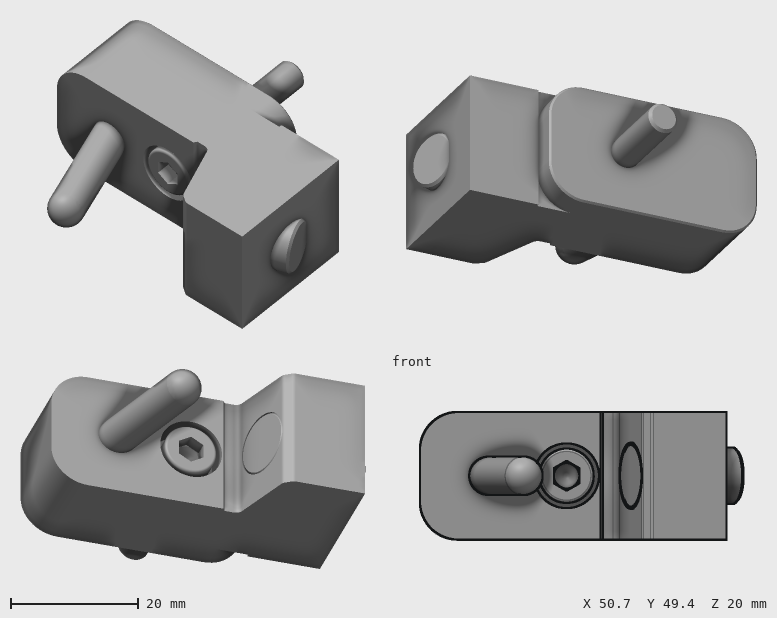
import cadquery as cq
import math


HEIGHT = 20.0
HOUSING_LENGTH = 48.0
ARM_LENGTH = 36.1
ARM_BACK_Y = 16.0
BLOCK_BACK_Y = 12.0
PAD_CORNER_FLOOR_Y = 11.5
BLOCK_FRONT_Y = -11.0
CORNER_RADIUS = 6.0
PAD_CHAMFER = 0.3

FACE_TILT = 20.0
FACE_BASE_X = 31.15
NOSE_SETBACK = 1.1
NOSE_RADIUS = 0.9
RELIEF_START_X = 28.3
RELIEF_RAMP = 0.35
RELIEF_DEPTH = 0.55
RELIEF_RADIUS = 1.1

SCREW_X = 22.95
SCREW_DIAMETER = 5.0
SCREW_TIP_Y = 30.0
SCREW_TIP_CHAMFER = 0.45
HEAD_DIAMETER = 8.5
HEAD_HEIGHT = 5.0
HEAD_ROUNDING = 0.45
COUNTERBORE_DIAMETER = 10.15
HEX_ACROSS_FLATS = 4.0
HEX_DEPTH = 2.5
HEX_CONE_DEPTH = 1.15

PIN_DIAMETER = 6.05
PIN_TILT = 18.0
PIN_BASE_X = 10.9
PIN_TIP_Y = -19.4
PIN_INSERTION = 10.15

CONTACT_Y = -5.0
CONTACT_DIAMETER = 10.35
CONTACT_THICKNESS = 3.0
CONTACT_CHAMFER = 0.3
PLUNGER_DIAMETER = 8.9
PLUNGER_END = 17.35
PLUNGER_CHAMFER = 0.4

face_angle = math.radians(FACE_TILT)


def face_x(y):
    """X of the inclined face at a given Y."""
    return FACE_BASE_X - y * math.tan(face_angle)


def tilted_plane(x, y, direction):
    """Plane at (x, y, 0) whose normal is the given direction in XY."""
    return cq.Plane(origin=(x, y, 0), xDir=(0, 0, 1), normal=direction)


contact_plane = tilted_plane(
    face_x(CONTACT_Y), CONTACT_Y, (math.cos(face_angle), math.sin(face_angle), 0)
)

pin_angle = math.radians(PIN_TILT)
pin_radius = PIN_DIAMETER / 2
pin_ball_y = PIN_TIP_Y + pin_radius
pin_length = PIN_INSERTION - pin_ball_y / math.cos(pin_angle)
pin_plane = tilted_plane(
    PIN_BASE_X - PIN_INSERTION * math.sin(pin_angle),
    PIN_INSERTION * math.cos(pin_angle),
    (math.sin(pin_angle), -math.cos(pin_angle), 0),
)


def cylinder_along_y(diameter, start_y, end_y):
    """Cylinder on the screw axis between two Y positions."""
    plane = tilted_plane(SCREW_X, start_y, (0, 1, 0))
    return cq.Workplane(plane).circle(diameter / 2).extrude(end_y - start_y)


def make_pin():
    shank = cq.Workplane(pin_plane).circle(pin_radius).extrude(pin_length)
    ball_center = pin_plane.toWorldCoords((0, 0, pin_length))
    ball = cq.Workplane("XY").sphere(pin_radius).translate(ball_center)
    return shank.union(ball)


def make_screw():
    head = cylinder_along_y(HEAD_DIAMETER, 0, HEAD_HEIGHT)
    head = head.faces("<Y").edges().fillet(HEAD_ROUNDING)
    shank = cylinder_along_y(SCREW_DIAMETER, HEAD_HEIGHT, SCREW_TIP_Y)
    shank = shank.faces(">Y").chamfer(SCREW_TIP_CHAMFER)
    head_plane = tilted_plane(SCREW_X, 0, (0, 1, 0))
    hex_corners = HEX_ACROSS_FLATS / math.cos(math.pi / 6)
    socket = cq.Workplane(head_plane).polygon(6, hex_corners).extrude(HEX_DEPTH)
    cone = cq.Solid.makeCone(
        HEX_ACROSS_FLATS / 2, 0, HEX_CONE_DEPTH,
        pnt=cq.Vector(SCREW_X, HEX_DEPTH, 0), dir=cq.Vector(0, 1, 0),
    )
    return head.union(shank).cut(socket).cut(cone)


def contact_disc():
    """Plain disc that the contact pad fills, without its edge chamfer."""
    return cq.Workplane(contact_plane).circle(CONTACT_DIAMETER / 2).extrude(CONTACT_THICKNESS)


def make_contact_pad():
    return contact_disc().faces("<X").chamfer(CONTACT_CHAMFER)


def make_plunger():
    start = contact_plane.toWorldCoords((0, 0, CONTACT_THICKNESS))
    plane = tilted_plane(start.x, start.y, contact_plane.zDir)
    rod = cq.Workplane(plane).circle(PLUNGER_DIAMETER / 2).extrude(PLUNGER_END - CONTACT_THICKNESS)
    return rod.faces(">X").chamfer(PLUNGER_CHAMFER)


def round_upright_edge(body, corner, radius):
    """Fillet the edge parallel to Z that passes through an outline corner."""
    return body.edges("|Z").edges(cq.NearestToPointSelector((*corner, 0))).fillet(radius)


def housing_blank():
    """Arm and block outline extruded through the height."""
    relief_corner = (face_x(RELIEF_DEPTH), RELIEF_DEPTH)
    nose_on_face_y = BLOCK_FRONT_Y + NOSE_SETBACK * math.cos(face_angle)
    nose_on_face = (face_x(nose_on_face_y), nose_on_face_y)
    nose_on_front = (face_x(BLOCK_FRONT_Y) + NOSE_SETBACK, BLOCK_FRONT_Y)
    outline = [
        (0, 0),
        (RELIEF_START_X, 0),
        (RELIEF_START_X + RELIEF_RAMP, RELIEF_DEPTH),
        relief_corner,
        nose_on_face,
        nose_on_front,
        (HOUSING_LENGTH, BLOCK_FRONT_Y),
        (HOUSING_LENGTH, BLOCK_BACK_Y),
        (ARM_LENGTH, BLOCK_BACK_Y),
        (ARM_LENGTH, ARM_BACK_Y),
        (0, ARM_BACK_Y),
    ]
    blank = cq.Workplane("XY").polyline(outline).close().extrude(HEIGHT / 2, both=True)
    blank = round_upright_edge(blank, relief_corner, RELIEF_RADIUS)
    blank = round_upright_edge(blank, nose_on_face, NOSE_RADIUS)
    return round_upright_edge(blank, nose_on_front, NOSE_RADIUS)


def pad_corner_waste():
    """Material outside the pad's rounded inner corners."""
    depth = ARM_BACK_Y - PAD_CORNER_FLOOR_Y
    pad_layer = cq.Workplane("XY").box(ARM_LENGTH, depth, HEIGHT, centered=(False, False, True))
    pad_layer = pad_layer.translate((0, PAD_CORNER_FLOOR_Y, 0))
    return pad_layer.cut(pad_layer.edges("|Y and >X").fillet(CORNER_RADIUS))


def make_housing():
    housing = housing_blank().edges("|Y and <X").fillet(CORNER_RADIUS)
    housing = housing.cut(pad_corner_waste())
    housing = housing.faces(">Y").chamfer(PAD_CHAMFER)
    housing = housing.cut(cylinder_along_y(COUNTERBORE_DIAMETER, 0, HEAD_HEIGHT))
    housing = housing.cut(cylinder_along_y(SCREW_DIAMETER, HEAD_HEIGHT, ARM_BACK_Y))
    return housing.cut(contact_disc()).cut(make_plunger()).cut(make_pin())


housing = make_housing()
screw = make_screw()
pin = make_pin()
contact_pad = make_contact_pad()
plunger = make_plunger()

result = cq.Compound.makeCompound(
    [housing.val(), screw.val(), pin.val(), contact_pad.val(), plunger.val()]
)